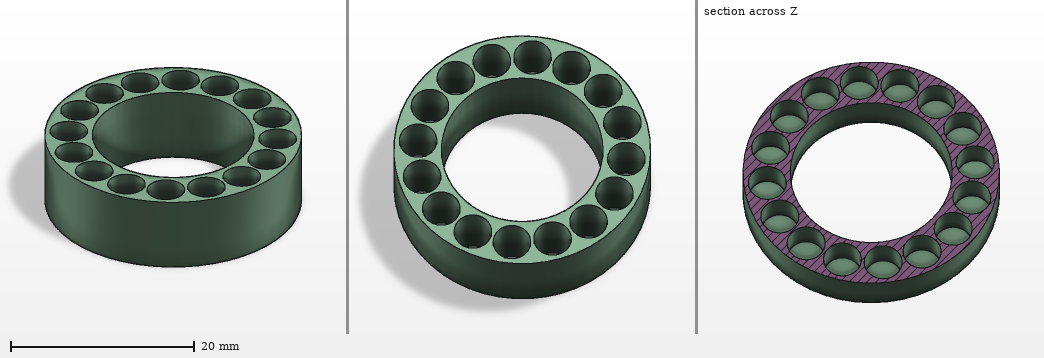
import cadquery as cq

outer_diameter = 28.0
bore_diameter = 17.6
height = 8.3

pocket_count = 16
pocket_diameter = 4.1
pocket_circle_radius = (outer_diameter + bore_diameter) / 4
floor_thickness = 1.0
pocket_depth = height - floor_thickness


def make_ring():
    """Plain ring standing on the XY plane, with a bore right through it."""
    return (
        cq.Workplane("XY")
        .circle(outer_diameter / 2)
        .circle(bore_diameter / 2)
        .extrude(height)
    )


def make_pockets():
    """Cylinders that hollow out the pockets, the first one on the +X axis."""
    return (
        cq.Workplane("XY")
        .workplane(offset=floor_thickness)
        .polarArray(pocket_circle_radius, 0, 360, pocket_count)
        .circle(pocket_diameter / 2)
        .extrude(pocket_depth)
    )


result = make_ring().cut(make_pockets())